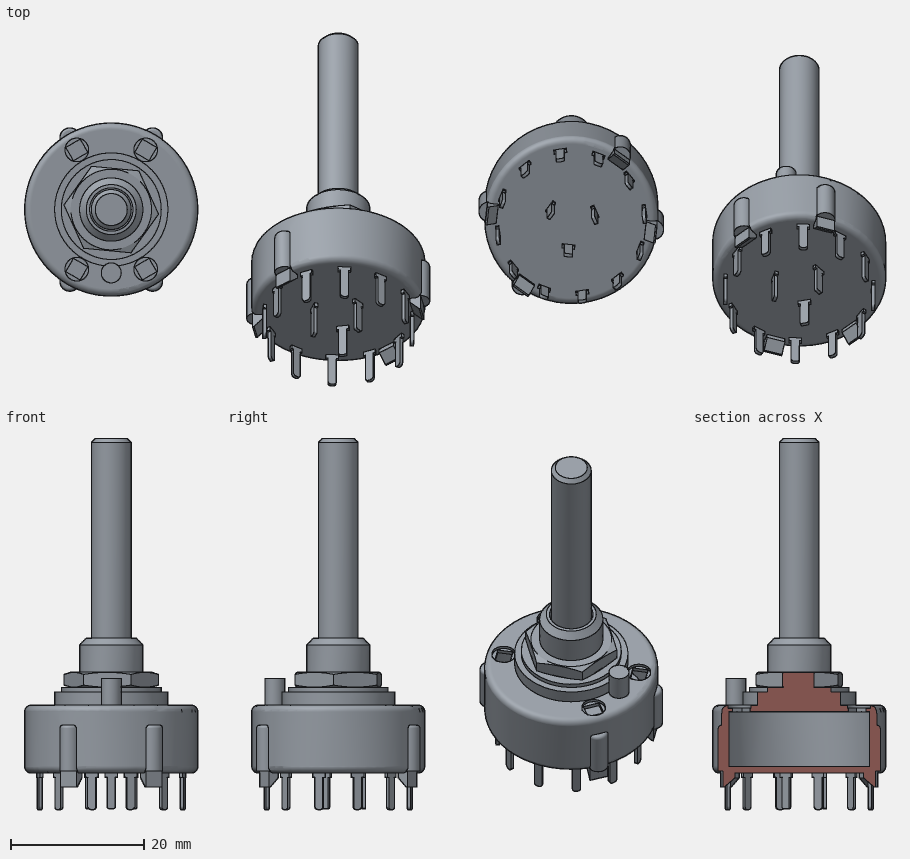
import cadquery as cq
import math


housing_diameter = 26.0
housing_height = 10.2
rim_radius = 1.0
wall = 1.0

flange_diameter = 17.0
flange_top = 12.2
washer_diameter = 15.0
washer_top = 12.85

nut_across_flats = 12.35
nut_top = 15.15
nut_turn = -5.5
nut_chamfer_diameter = 12.1
nut_chamfer_drop = 0.35

bushing_diameter = 9.5
bushing_top = 20.25
bushing_chamfer = 1.0
bushing_bore = 6.5
bore_depth = 2.0
shaft_diameter = 6.0
shaft_chamfer = 0.6
total_height = 55.71

peg_diameter = 3.0
peg_offset = 9.5
peg_top = 14.2

clip_angles = [60, 120, 240, 300]
rib_diameter = 3.0
rib_circle_radius = 12.43
rib_bottom = 0.3
rib_top = 7.2
rib_round = 0.5
foot_width = 2.8
foot_outer_radius = 12.82
foot_depth = 1.65
foot_tip_depth = 0.25
foot_bottom = -2.1
window_circle_radius = 10.33
window_diameter = 3.55
window_recess = 0.45
window_opening_radial = 2.3
window_opening_tangential = 2.5

terminal_width = 1.25
terminal_thickness = 0.5
shoulder_width = 1.9
shoulder_length = 0.65
outer_terminal_count = 12
outer_terminal_circle_radius = 11.1
outer_tip = -5.5
inner_terminal_angles = [90, 210, 330]
inner_terminal_circle_radius = 3.85
inner_tip = -5.35
outer_tip_round = 0.5
inner_tip_round = 0.3

shaft_top = total_height + outer_tip


def disc(diameter, bottom, top):
    """Upright cylinder on the Z axis."""
    return cq.Workplane("XY").workplane(offset=bottom).circle(diameter / 2).extrude(top - bottom)


def at_angle(body, angle):
    """Turn a body about the Z axis from the +X direction to the given angle."""
    return body.rotate((0, 0, 0), (0, 0, 1), angle)


def housing():
    return disc(housing_diameter, 0, housing_height).edges().fillet(rim_radius)


def cavity():
    return disc(housing_diameter - 2 * wall, wall, housing_height - wall)


def nut():
    corner_diameter = nut_across_flats / math.cos(math.pi / 6)
    height = nut_top - washer_top
    hexagon = cq.Workplane("XY").workplane(offset=washer_top).polygon(6, corner_diameter).extrude(height)
    corner_relief = disc(corner_diameter, washer_top, nut_top).edges().chamfer(
        nut_chamfer_drop, (corner_diameter - nut_chamfer_diameter) / 2
    )
    return at_angle(hexagon.intersect(corner_relief), nut_turn)


def bushing():
    body = disc(bushing_diameter, housing_height, bushing_top)
    body = body.faces(">Z").chamfer(bushing_chamfer)
    return body.cut(disc(bushing_bore, bushing_top - bore_depth, bushing_top))


def shaft():
    return disc(shaft_diameter, housing_height, shaft_top).faces(">Z").chamfer(shaft_chamfer)


def peg():
    return disc(peg_diameter, housing_height - wall, peg_top).translate((0, -peg_offset, 0))


def clip():
    """Rib and foot of one clip on the +X side."""
    rib = disc(rib_diameter, rib_bottom, rib_top).faces(">Z").edges().fillet(rib_round)
    rib = rib.translate((rib_circle_radius, 0, 0))
    slope_top = foot_bottom + foot_depth - foot_tip_depth
    foot = (
        cq.Workplane("XZ")
        .moveTo(foot_outer_radius, rib_bottom)
        .lineTo(foot_outer_radius, foot_bottom)
        .lineTo(foot_outer_radius - foot_tip_depth, foot_bottom)
        .lineTo(foot_outer_radius - foot_depth, slope_top)
        .lineTo(foot_outer_radius - foot_depth, rib_bottom)
        .close()
        .extrude(foot_width / 2, both=True)
    )
    return rib.union(foot)


def window():
    """Round recess in the housing top with a rectangular opening into the cavity, on the +X side."""
    recess = disc(window_diameter, housing_height - window_recess, housing_height)
    opening = (
        cq.Workplane("XY")
        .workplane(offset=housing_height - wall)
        .rect(window_opening_radial, window_opening_tangential)
        .extrude(wall)
    )
    return recess.union(opening).translate((window_circle_radius, 0, 0))


def terminal(circle_radius, tip, tip_round):
    """Flat terminal on the +X side, wide in the tangential direction."""
    blade = (
        cq.Workplane("XY")
        .rect(terminal_thickness, terminal_width)
        .extrude(tip)
        .faces("<Z")
        .edges("|X")
        .fillet(tip_round)
    )
    shoulder = cq.Workplane("XY").rect(terminal_thickness, shoulder_width).extrude(-shoulder_length)
    return blade.union(shoulder).translate((circle_radius, 0, 0))


result = housing()
for angle in clip_angles:
    result = result.union(at_angle(clip(), angle))
result = result.cut(cavity())
for angle in clip_angles:
    result = result.cut(at_angle(window(), angle))

result = result.union(disc(flange_diameter, housing_height, flange_top))
result = result.union(disc(washer_diameter, flange_top, washer_top))
result = result.union(nut()).union(bushing()).union(shaft()).union(peg())

terminal_pitch = 360 / outer_terminal_count
for index in range(outer_terminal_count):
    angle = (index + 0.5) * terminal_pitch
    pin = terminal(outer_terminal_circle_radius, outer_tip, outer_tip_round)
    result = result.union(at_angle(pin, angle))
for angle in inner_terminal_angles:
    pin = terminal(inner_terminal_circle_radius, inner_tip, inner_tip_round)
    result = result.union(at_angle(pin, angle))